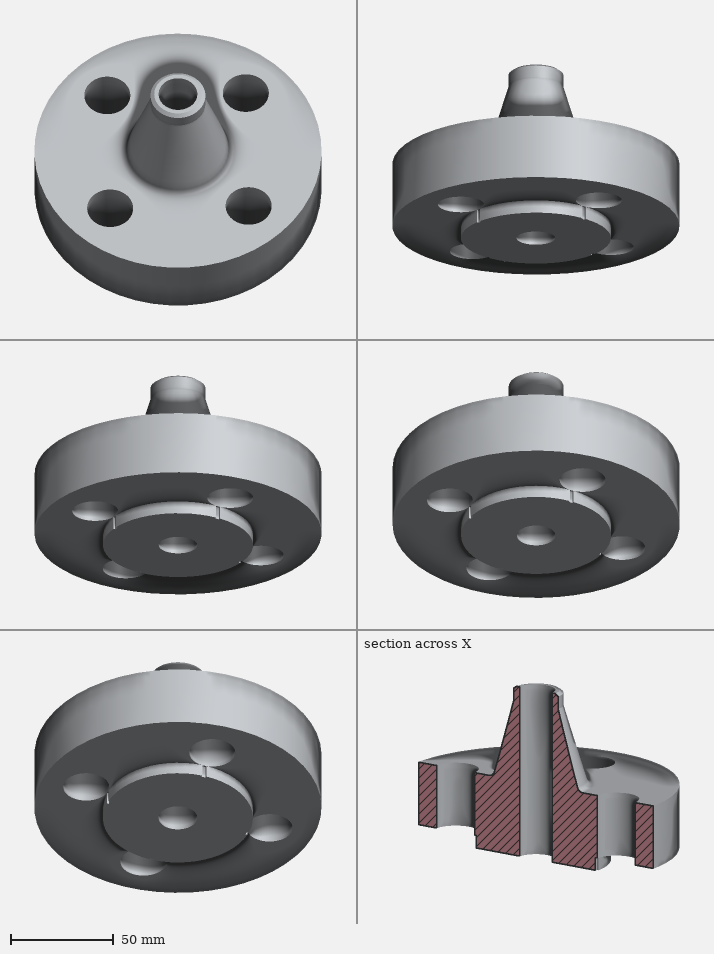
import cadquery as cq

flange_diameter = 139.7
flange_thickness = 31.75
raised_face_diameter = 73.0
raised_face_height = 6.35
overall_height = 85.6

pipe_diameter = 26.7
bore_diameter = 18.85
hub_base_diameter = 51.0
pipe_end_length = 7.6
weld_bevel_height = 1.3
weld_bevel_inset = 1.8
hub_fillet_radius = 3.0

bolt_hole_count = 4
bolt_hole_diameter = 22.4
bolt_circle_diameter = 95.25

notch_count = 4
notch_width = 2.1
notch_depth = 1.0

flange_top = flange_thickness
raised_face_bottom = -raised_face_height
neck_top = raised_face_bottom + overall_height
taper_top = neck_top - pipe_end_length


def flange_with_neck():
    """Revolve the half section of the raised face, flange and neck about Z."""
    pipe_radius = pipe_diameter / 2
    profile = (
        cq.Workplane("XZ")
        .moveTo(0, raised_face_bottom)
        .lineTo(raised_face_diameter / 2, raised_face_bottom)
        .lineTo(raised_face_diameter / 2, 0)
        .lineTo(flange_diameter / 2, 0)
        .lineTo(flange_diameter / 2, flange_top)
        .lineTo(hub_base_diameter / 2, flange_top)
        .lineTo(pipe_radius, taper_top)
        .lineTo(pipe_radius, neck_top - weld_bevel_height)
        .lineTo(pipe_radius - weld_bevel_inset, neck_top)
        .lineTo(0, neck_top)
        .close()
    )
    return profile.revolve(360, (0, 0, 0), (0, 1, 0))


def fillet_hub_root(body):
    """Round the inside corner between the tapered hub and the flange."""
    margin = 1.0
    reach = hub_base_diameter / 2 + margin
    root_edge = cq.selectors.BoxSelector(
        (-reach, -reach, flange_top - margin),
        (reach, reach, flange_top + margin),
        boundingbox=True,
    )
    return body.edges(root_edge).edges("%CIRCLE").fillet(hub_fillet_radius)


def through_holes():
    """Cutters for the central bore and the ring of bolt holes."""
    cutters = (
        cq.Workplane("XY", origin=(0, 0, raised_face_bottom))
        .circle(bore_diameter / 2)
        .extrude(overall_height)
    )
    bolt_holes = (
        cq.Workplane("XY")
        .polarArray(bolt_circle_diameter / 2, 0, 360, bolt_hole_count)
        .circle(bolt_hole_diameter / 2)
        .extrude(flange_thickness)
    )
    return cutters.add(bolt_holes).combine()


def rim_notches():
    """Cutters for the narrow notches across the height of the raised face rim."""
    return (
        cq.Workplane("XY", origin=(0, 0, raised_face_bottom))
        .polarArray(raised_face_diameter / 2, 0, 360, notch_count)
        .rect(2 * notch_depth, notch_width)
        .extrude(raised_face_height)
    )


flange = fillet_hub_root(flange_with_neck())
result = flange.cut(through_holes()).cut(rim_notches())